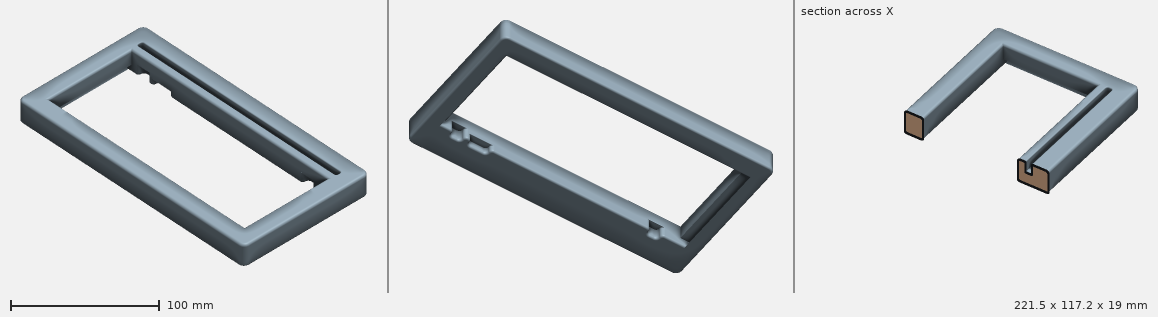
import cadquery as cq
length = 221.5
width = 117.2
height = 19.0
corner_radius = 5.0
top_fillet = 2.2
bottom_fillet = 1.5

opening_length = 191.4
opening_back_y = 33.5
opening_front_y = -43.5
opening_width = opening_back_y - opening_front_y
opening_y = (opening_back_y + opening_front_y) / 2
opening_fillet = 2.0

slot_length = 195.0
slot_width = 4.9
slot_y = 42.3
slot_depth = 8.9
slot_corner_diameter = 3.3
slot_rim_fillet = 0.9

undercut_height = 6.5
undercut_mouth_x = 99.7

tongue_x = -77.3
tongue_width = 0.2
notch_bend_radius = 2.7
notches = [
    (-91.7, tongue_x, height / 2),
    (tongue_x + tongue_width, -56.0, 5.5),
    (68.9, 83.0, 8.9),
]


def outer_block():
    return (
        cq.Workplane("XY")
        .box(length, width, height, centered=(True, True, False))
        .edges("|Z").fillet(corner_radius)
        .faces(">Z").edges().fillet(top_fillet)
        .faces("<Z").edges().fillet(bottom_fillet)
    )


def opening():
    return (
        cq.Workplane("XY")
        .center(0, opening_y)
        .rect(opening_length, opening_width)
        .extrude(height)
    )


def undercut(side):
    """Dovetail groove along one short side: flat roof, outer flank sloping at 45 degrees."""
    inner_x = opening_length / 2
    roof_x = undercut_mouth_x + undercut_height
    profile = [(inner_x, 0), (undercut_mouth_x, 0), (roof_x, undercut_height), (inner_x, undercut_height)]
    return (
        cq.Workplane("XZ", origin=(0, opening_back_y, 0))
        .polyline([(side * x, z) for x, z in profile])
        .close()
        .extrude(opening_width)
    )


def slot():
    return (
        cq.Workplane("XY", origin=(0, slot_y, height - slot_depth))
        .rect(slot_length, slot_width)
        .extrude(slot_depth)
        .edges("|Z").fillet(slot_corner_diameter / 2)
    )


def notch(left, right, roof):
    """Recess whose sides leave the wall in a convex bend and reach the back in a concave one."""
    r = notch_bend_radius
    middle_y = opening_back_y + r
    back_y = middle_y + r
    return (
        cq.Workplane("XY")
        .moveTo(left, opening_back_y)
        .lineTo(right, opening_back_y)
        .radiusArc((right - r, middle_y), r)
        .radiusArc((right - 2 * r, back_y), -r)
        .lineTo(left + 2 * r, back_y)
        .radiusArc((left + r, middle_y), -r)
        .radiusArc((left, opening_back_y), r)
        .close()
        .extrude(roof)
    )


def edges_between(front_y, back_y):
    """Selector for edges in the band of the frame from front_y to back_y, clear of the outer rim."""
    half_length = length / 2 - corner_radius
    lower_corner = (-half_length, front_y, -height)
    upper_corner = (half_length, back_y, 2 * height)
    return cq.selectors.BoxSelector(lower_corner, upper_corner)


inner_half_width = width / 2 - corner_radius
around_opening = edges_between(-inner_half_width, inner_half_width)
around_slot = edges_between(slot_y - slot_width, slot_y + slot_width)

result = outer_block().cut(opening())
result = result.faces(">Z").edges(around_opening).fillet(opening_fillet)
for side in (-1, 1):
    result = result.cut(undercut(side))
for left, right, roof in notches:
    result = result.cut(notch(left, right, roof))

result = result.faces("<Z").edges(around_opening).edges("not |Y").fillet(bottom_fillet)

result = result.cut(slot())
result = result.faces(">Z").edges(around_slot).fillet(slot_rim_fillet)